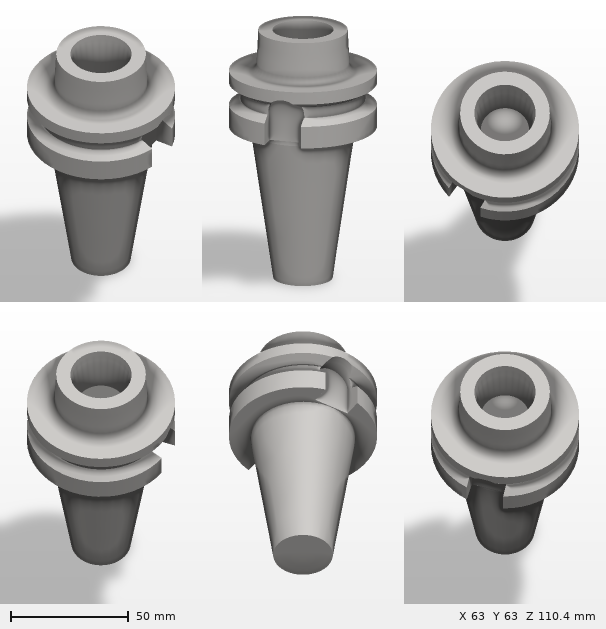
import cadquery as cq
import math


GAUGE_RADIUS = 44.45 / 2
SHANK_LENGTH = 65.4
TAPER_ON_RADIUS = 7 / 48
SHANK_END_RADIUS = GAUGE_RADIUS - SHANK_LENGTH * TAPER_ON_RADIUS

FLANGE_RADIUS = 63 / 2
FLANGE_BOTTOM = 2.0
FLANGE_TOP = 27.0

GROOVE_RADIUS = 53 / 2
GROOVE_CENTER = 16.6
GROOVE_SIDE_INNER_RADIUS = 27.2
GROOVE_FLOOR_WIDTH = 4.95
GROOVE_SIDE_ANGLE = 30.0

SLOT_WIDTH = 16.1
SLOT_ARC_CENTER = 15.0
SLOT_FLOOR_OFFSET = 22.6

NOSE_TOP = 45.0
NOSE_TOP_RADIUS = 19.05
NOSE_DRAFT = 3.0
NOSE_FILLET = 3.0

BORE_TOP_RADIUS = 13.0
BORE_FLOOR_RADIUS = 10.3
BORE_HALF_ANGLE = 8.0


def make_body():
    """Revolve the shank, grooved flange and nose, with a fillet at the nose root."""
    slope_height = (FLANGE_RADIUS - GROOVE_SIDE_INNER_RADIUS) * math.tan(math.radians(GROOVE_SIDE_ANGLE))
    floor_low = GROOVE_CENTER - GROOVE_FLOOR_WIDTH / 2
    floor_high = GROOVE_CENTER + GROOVE_FLOOR_WIDTH / 2

    draft = math.radians(NOSE_DRAFT)
    fillet_center_z = FLANGE_TOP + NOSE_FILLET
    wall_radius = NOSE_TOP_RADIUS + (NOSE_TOP - fillet_center_z) * math.tan(draft)
    fillet_center_r = wall_radius + NOSE_FILLET / math.cos(draft)

    def fillet_point(angle):
        return (
            fillet_center_r - NOSE_FILLET * math.cos(angle),
            fillet_center_z - NOSE_FILLET * math.sin(angle),
        )

    root_angle = math.pi / 2
    middle_angle = (root_angle + draft) / 2

    profile = (
        cq.Workplane("XZ")
        .moveTo(0, -SHANK_LENGTH)
        .lineTo(SHANK_END_RADIUS, -SHANK_LENGTH)
        .lineTo(GAUGE_RADIUS, 0)
        .lineTo(GAUGE_RADIUS, FLANGE_BOTTOM)
        .lineTo(FLANGE_RADIUS, FLANGE_BOTTOM)
        .lineTo(FLANGE_RADIUS, floor_low - slope_height)
        .lineTo(GROOVE_SIDE_INNER_RADIUS, floor_low)
        .lineTo(GROOVE_RADIUS, floor_low)
        .lineTo(GROOVE_RADIUS, floor_high)
        .lineTo(GROOVE_SIDE_INNER_RADIUS, floor_high)
        .lineTo(FLANGE_RADIUS, floor_high + slope_height)
        .lineTo(FLANGE_RADIUS, FLANGE_TOP)
        .lineTo(*fillet_point(root_angle))
        .threePointArc(fillet_point(middle_angle), fillet_point(draft))
        .lineTo(NOSE_TOP_RADIUS, NOSE_TOP)
        .lineTo(0, NOSE_TOP)
        .close()
    )
    return profile.revolve(360, (0, 0, 0), (0, 1, 0))


def make_drive_slot(side):
    """Round-topped cutter reaching in to the slot floor; side is -1 or +1 along X."""
    half_width = SLOT_WIDTH / 2
    slot_depth = FLANGE_RADIUS - SLOT_FLOOR_OFFSET
    return (
        cq.Workplane("YZ", origin=(side * SLOT_FLOOR_OFFSET, 0, 0))
        .moveTo(-half_width, FLANGE_BOTTOM)
        .lineTo(half_width, FLANGE_BOTTOM)
        .lineTo(half_width, SLOT_ARC_CENTER)
        .threePointArc((0, SLOT_ARC_CENTER + half_width), (-half_width, SLOT_ARC_CENTER))
        .close()
        .extrude(side * slot_depth)
    )


def make_bore():
    """Cone narrowing downward from the nose face to a flat floor."""
    depth = (BORE_TOP_RADIUS - BORE_FLOOR_RADIUS) / math.tan(math.radians(BORE_HALF_ANGLE))
    floor_z = NOSE_TOP - depth
    return (
        cq.Workplane("XZ")
        .moveTo(0, floor_z)
        .lineTo(BORE_FLOOR_RADIUS, floor_z)
        .lineTo(BORE_TOP_RADIUS, NOSE_TOP)
        .lineTo(0, NOSE_TOP)
        .close()
        .revolve(360, (0, 0, 0), (0, 1, 0))
    )


result = make_body().cut(make_bore())
for side in (-1, 1):
    result = result.cut(make_drive_slot(side))